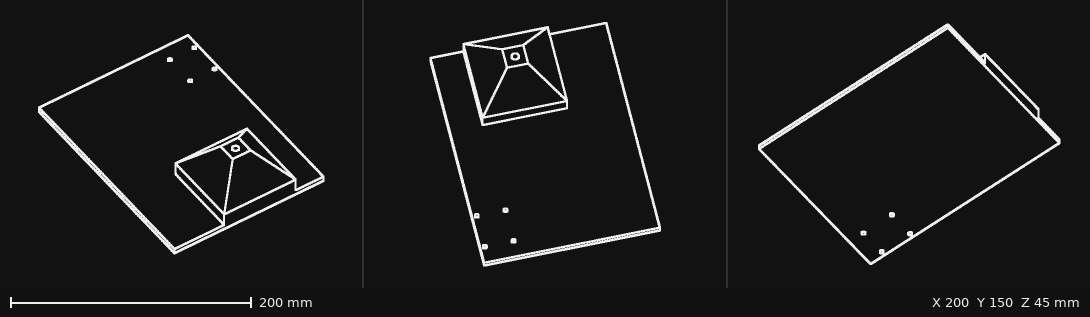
import cadquery as cq

PLATE_LENGTH = 200.0
PLATE_WIDTH = 150.0
PLATE_THICKNESS = 5.0

TOTAL_HEIGHT = 45.0
HOUSING_SIDE = 72.0
HOUSING_TOP_SIDE = 18.0
PYRAMID_HEIGHT = 27.5
BLOCK_HEIGHT = TOTAL_HEIGHT - PLATE_THICKNESS - PYRAMID_HEIGHT
HOUSING_X = (PLATE_LENGTH - HOUSING_SIDE) / 2
HOUSING_Y = 11.0

BORE_DIAMETER = 6.0
BORE_DEPTH = TOTAL_HEIGHT - PLATE_THICKNESS

MOUNT_HOLE_DIAMETER = 3.2
MOUNT_EDGE_X = 15.0
MOUNT_EDGE_Y = 4.0
MOUNT_PITCH_X = 30.0
MOUNT_PITCH_Y = 24.5


def make_plate():
    plate = cq.Workplane("XY").box(
        PLATE_LENGTH, PLATE_WIDTH, PLATE_THICKNESS, centered=(True, True, False)
    )
    pattern_x = -PLATE_LENGTH / 2 + MOUNT_EDGE_X + MOUNT_PITCH_X / 2
    pattern_y = PLATE_WIDTH / 2 - MOUNT_EDGE_Y - MOUNT_PITCH_Y / 2
    return (
        plate.faces(">Z")
        .workplane(origin=(pattern_x, pattern_y, PLATE_THICKNESS))
        .rarray(MOUNT_PITCH_X, MOUNT_PITCH_Y, 2, 2)
        .hole(MOUNT_HOLE_DIAMETER)
    )


def make_housing():
    block = cq.Workplane("XY", origin=(HOUSING_X, HOUSING_Y, PLATE_THICKNESS)).box(
        HOUSING_SIDE, HOUSING_SIDE, BLOCK_HEIGHT, centered=(True, True, False)
    )
    pyramid = (
        cq.Workplane("XY", origin=(HOUSING_X, HOUSING_Y, PLATE_THICKNESS + BLOCK_HEIGHT))
        .rect(HOUSING_SIDE, HOUSING_SIDE)
        .workplane(offset=PYRAMID_HEIGHT)
        .rect(HOUSING_TOP_SIDE, HOUSING_TOP_SIDE)
        .loft(ruled=True)
    )
    return block.union(pyramid)


def make_bore():
    return (
        cq.Workplane("XY", origin=(HOUSING_X, HOUSING_Y, TOTAL_HEIGHT - BORE_DEPTH))
        .circle(BORE_DIAMETER / 2)
        .extrude(BORE_DEPTH)
    )


result = make_plate().union(make_housing()).cut(make_bore())